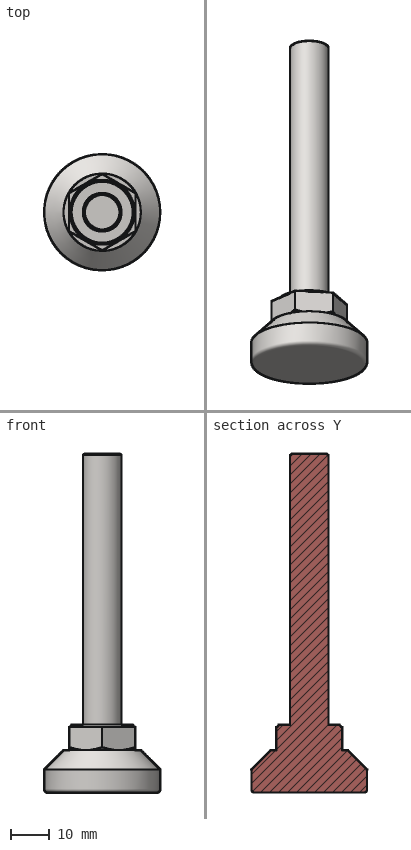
import cadquery as cq
import math


total_height = 87.4
pad_rim_height = 6.0
pad_top_height = 11.0
hex_top_height = 16.95
collar_top_height = 17.6

pad_radius = 30.0 / 2
pad_top_radius = 19.9 / 2
pad_edge_fillet = 1.0

hex_across_flats = 17.0
hex_across_corners = hex_across_flats / math.cos(math.pi / 6)
hex_chamfer_angle = math.radians(30)
collar_base_radius = 16.7 / 2
collar_top_radius = 15.7 / 2

stud_radius = 10.0 / 2
tip_chamfer_width = 0.5
tip_chamfer_height = 0.35


def make_pad():
    """Round pad: rounded lower edge, straight rim and conical top."""
    profile = (
        cq.Workplane("XZ")
        .lineTo(pad_radius - pad_edge_fillet, 0)
        .radiusArc((pad_radius, pad_edge_fillet), -pad_edge_fillet)
        .lineTo(pad_radius, pad_rim_height)
        .lineTo(pad_top_radius, pad_top_height)
        .lineTo(0, pad_top_height)
        .close()
    )
    return profile.revolve(360, (0, 0, 0), (0, 1, 0))


def make_hexagon():
    """Hexagon with corners on the Y axis and its lower corners chamfered."""
    height = hex_top_height - pad_top_height
    prism = (
        cq.Workplane("XY", origin=(0, 0, pad_top_height))
        .transformed(rotate=(0, 0, 90))
        .polygon(6, hex_across_corners)
        .extrude(height)
    )
    flat_radius = hex_across_flats / 2
    wide_radius = flat_radius + height / math.tan(hex_chamfer_angle)
    trimming_cone = (
        cq.Workplane("XZ", origin=(0, 0, pad_top_height))
        .lineTo(flat_radius, 0)
        .lineTo(wide_radius, height)
        .lineTo(0, height)
        .close()
        .revolve(360, (0, 0, 0), (0, 1, 0))
    )
    return prism.intersect(trimming_cone)


def make_stud():
    """Conical collar and plain stud with a chamfered tip."""
    profile = (
        cq.Workplane("XZ")
        .moveTo(0, hex_top_height)
        .lineTo(collar_base_radius, hex_top_height)
        .lineTo(collar_top_radius, collar_top_height)
        .lineTo(stud_radius, collar_top_height)
        .lineTo(stud_radius, total_height - tip_chamfer_height)
        .lineTo(stud_radius - tip_chamfer_width, total_height)
        .lineTo(0, total_height)
        .close()
    )
    return profile.revolve(360, (0, 0, 0), (0, 1, 0))


result = make_pad().union(make_hexagon()).union(make_stud())